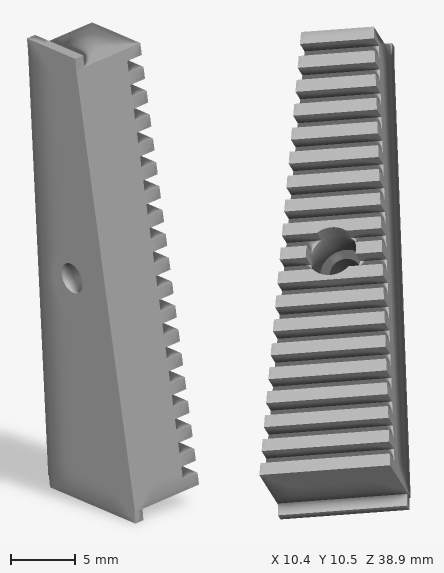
import cadquery as cq
import math

body_length = 37.0
body_depth = 5.0
bottom_width = 10.4
top_width = 5.8
lean_offset = 4.0
lean_angle = math.degrees(math.atan(lean_offset / body_length))

tooth_count = 19
tooth_depth = 1.48
tooth_height = body_length / (2 * tooth_count - 1)
tooth_pitch = 2 * tooth_height

tab_height = tooth_height
tab_depth = 0.8
top_tab_width = top_width
bottom_tab_width = 10.25

hole_diameter = 2.5
counterbore_diameter = 4.0
hole_height = 18.4
counterbore_floor = 2.0


def tapered_bar(depth):
    """Upright trapezoid whose front face lies on Y = 0."""
    outline = [
        (-bottom_width / 2, 0),
        (bottom_width / 2, 0),
        (top_width / 2, body_length),
        (-top_width / 2, body_length),
    ]
    return cq.Workplane("XZ").polyline(outline).close().extrude(-depth)


def tooth_gap(index):
    """Full-width slot above the tooth with this index, cut down to the body."""
    bottom = index * tooth_pitch + tooth_height
    return (
        cq.Workplane("XY", origin=(0, body_depth, bottom))
        .box(bottom_width, tooth_depth, tooth_height, centered=(True, False, False))
    )


def end_tab(width, bottom):
    return (
        cq.Workplane("XY", origin=(0, 0, bottom))
        .box(width, tab_depth, tab_height, centered=(True, False, False))
    )


def bore(diameter, start, end):
    """Cylinder along Y at the hole height."""
    return (
        cq.Workplane("XZ", origin=(0, start, hole_height))
        .circle(diameter / 2)
        .extrude(start - end)
    )


overall_depth = body_depth + tooth_depth
part = tapered_bar(overall_depth)
for gap_index in range(tooth_count - 1):
    part = part.cut(tooth_gap(gap_index))

part = part.union(end_tab(bottom_tab_width, -tab_height))
part = part.union(end_tab(top_tab_width, body_length))

part = part.cut(bore(hole_diameter, 0, overall_depth))
part = part.cut(bore(counterbore_diameter, counterbore_floor, overall_depth))

result = part.rotate((0, 0, 0), (1, 0, 0), lean_angle)